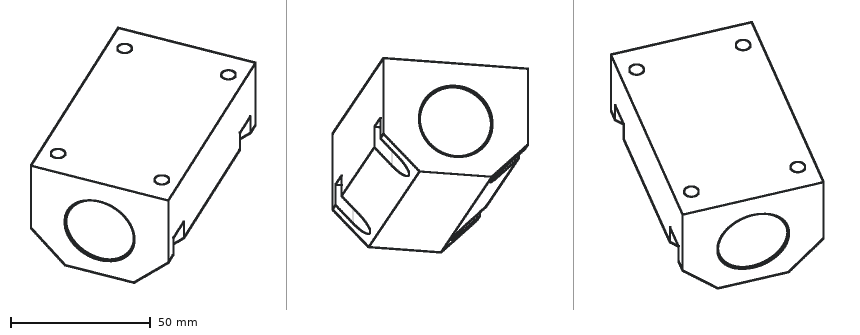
import cadquery as cq

width = 53.0
length = 84.0
height = 42.0
corner_chamfer = 13.25

bore_diameter = 26.0
bore_mouth_chamfer = 0.5
bore_axis_height = 20.0

screw_diameter = 5.2
screw_spacing_x = 40.0
screw_spacing_y = 64.0
slot_width = 10.0
slot_ceiling_height = 21.0


def block():
    """Rectangular block with its two lower long edges cut at 45 degrees."""
    body = cq.Workplane("XY").box(width, length, height, centered=(True, True, False))
    return body.faces("<Z").edges("|Y").chamfer(corner_chamfer)


def bore():
    """Bore along Y with a small chamfer at each mouth, as a revolved cutter."""
    radius = bore_diameter / 2
    mouth_radius = radius + bore_mouth_chamfer
    half_length = length / 2
    straight_half = half_length - bore_mouth_chamfer
    profile = cq.Workplane("XY").polyline([
        (0, -half_length),
        (mouth_radius, -half_length),
        (radius, -straight_half),
        (radius, straight_half),
        (mouth_radius, half_length),
        (0, half_length),
    ]).close()
    cutter = profile.revolve(360, (0, 0, 0), (0, 1, 0))
    return cutter.translate((0, 0, bore_axis_height))


def screw_seat(side, y):
    """Screw hole and its slot; side is -1 or +1 for the X side it opens to."""
    x = side * screw_spacing_x / 2
    hole = cq.Workplane("XY").center(x, y).circle(screw_diameter / 2).extrude(height)
    head_end = cq.Workplane("XY").center(x, y).circle(slot_width / 2).extrude(slot_ceiling_height)
    opening_length = width / 2 - abs(x)
    opening_x = x + side * opening_length / 2
    opening = (
        cq.Workplane("XY")
        .center(opening_x, y)
        .rect(opening_length, slot_width)
        .extrude(slot_ceiling_height)
    )
    return hole.union(head_end).union(opening)


result = block().cut(bore())
for side in (-1, 1):
    for y in (-screw_spacing_y / 2, screw_spacing_y / 2):
        result = result.cut(screw_seat(side, y))